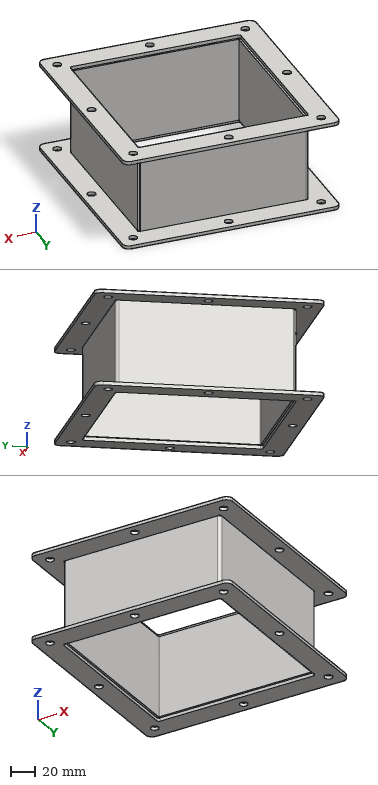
import cadquery as cq

flange_side = 193.7
overall_height = 82.5
flange_thickness = 3.1
flange_corner_radius = 6.0

duct_side = 152.6
plate_thickness = 2.0
bend_inner_radius = 0.8
bend_outer_radius = bend_inner_radius + plate_thickness
plate_height = overall_height - 2 * flange_thickness
opening_corner_radius = plate_thickness

hole_diameter = 7.2
corner_hole_offset = 84.3
middle_hole_offset = 87.5
hole_centers = [
    (x * corner_hole_offset, y * corner_hole_offset) for x in (-1, 1) for y in (-1, 1)
]
for side in (-1, 1):
    hole_centers.append((side * middle_hole_offset, 0))
    hole_centers.append((0, side * middle_hole_offset))


def make_flange(bottom):
    """Square rounded ring with eight bolt holes, whose opening is as wide as the duct."""
    plate = (
        cq.Workplane("XY", origin=(0, 0, bottom))
        .rect(flange_side, flange_side)
        .extrude(flange_thickness)
        .edges("|Z")
        .fillet(flange_corner_radius)
    )
    opening = (
        cq.Workplane("XY", origin=(0, 0, bottom))
        .rect(duct_side, duct_side)
        .extrude(flange_thickness)
        .edges("|Z")
        .fillet(opening_corner_radius)
    )
    holes = (
        cq.Workplane("XY", origin=(0, 0, bottom))
        .pushPoints(hole_centers)
        .circle(hole_diameter / 2)
        .extrude(flange_thickness)
    )
    return plate.cut(opening).cut(holes)


def make_bent_plate(turn):
    """L-shaped plate bent at the +X, -Y corner, then turned about Z.

    Each leg stops level with the inner face of the adjoining plate, which leaves
    a square notch open at the two corners where the plates meet.
    """
    outer = duct_side / 2
    inner = outer - plate_thickness
    plate = (
        cq.Workplane("XY", origin=(0, 0, -plate_height / 2))
        .moveTo(-inner, -outer)
        .lineTo(outer, -outer)
        .lineTo(outer, inner)
        .lineTo(inner, inner)
        .lineTo(inner, -inner)
        .lineTo(-inner, -inner)
        .close()
        .extrude(plate_height)
    )
    plate = plate.edges("|Z and (>(1, -1, 0))").fillet(bend_outer_radius)
    inner_bend = cq.selectors.NearestToPointSelector((inner, -inner, 0))
    plate = plate.edges(inner_bend).fillet(bend_inner_radius)
    return plate.rotate((0, 0, 0), (0, 0, 1), turn)


flange_bottoms = (-overall_height / 2, overall_height / 2 - flange_thickness)
flanges = [make_flange(bottom) for bottom in flange_bottoms]
bent_plates = [make_bent_plate(turn) for turn in (0, 180)]

result = cq.Compound.makeCompound([body.val() for body in flanges + bent_plates])